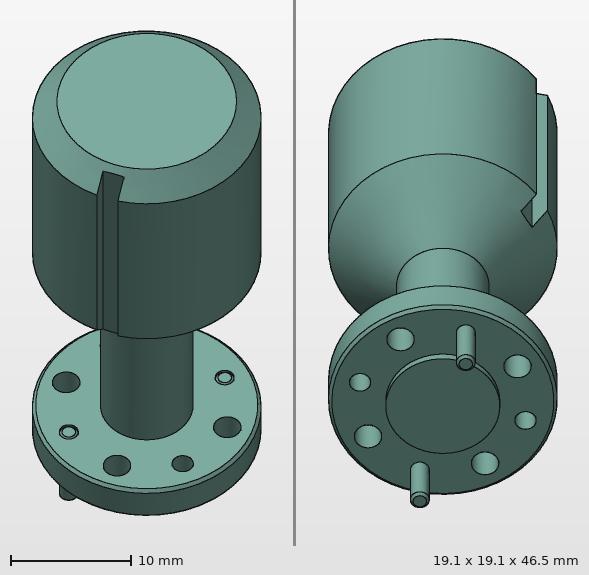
import cadquery as cq
import math

total_height = 46.55
pin_drop = 4.65
head_top = total_height - pin_drop

outer_diameter = 19.05
flange_thickness = 3.35
flange_chamfer = 0.3
boss_diameter = 9.5
boss_height = 0.7

bolt_circle_diameter = 14.3
screw_hole_diameter = 2.3
screw_hole_count = 4
dowel_hole_diameter = 1.75
dowel_hole_angles = (135, 315)

pin_diameter = 1.6
pin_chamfer = 0.25
pin_angles = (45, 225)

stem_diameter = 7.75
head_chamfer = 2.05
head_straight_length = 17.15
cone_height = (outer_diameter - stem_diameter) / 2

slot_width = 1.85
slot_floor_distance = 8.0


def bolt_circle_point(angle):
    """Position on the bolt circle at an angle in degrees from +X."""
    radius = bolt_circle_diameter / 2
    return (radius * math.cos(math.radians(angle)), radius * math.sin(math.radians(angle)))


def make_flange():
    """Round flange with chamfered rims, drilled for screws, dowels and pins."""
    disc = cq.Workplane("XY").circle(outer_diameter / 2).extrude(flange_thickness)
    disc = disc.edges("%CIRCLE").chamfer(flange_chamfer)
    boss = cq.Workplane("XY").circle(boss_diameter / 2).extrude(-boss_height)
    screw_angles = [i * 360 / screw_hole_count for i in range(screw_hole_count)]
    flange = disc
    for angles, diameter in (
        (screw_angles, screw_hole_diameter),
        (dowel_hole_angles, dowel_hole_diameter),
        (pin_angles, pin_diameter),
    ):
        points = [bolt_circle_point(angle) for angle in angles]
        holes = cq.Workplane("XY").pushPoints(points).circle(diameter / 2).extrude(flange_thickness)
        flange = flange.cut(holes)
    return flange.union(boss)


def make_stem_and_head():
    """Turned stem that widens through a cone into the cylindrical head."""
    outer_radius = outer_diameter / 2
    stem_radius = stem_diameter / 2
    cone_top = head_top - head_chamfer - head_straight_length
    return (
        cq.Workplane("XZ")
        .moveTo(0, flange_thickness)
        .lineTo(stem_radius, flange_thickness)
        .lineTo(stem_radius, cone_top - cone_height)
        .lineTo(outer_radius, cone_top)
        .lineTo(outer_radius, head_top - head_chamfer)
        .lineTo(outer_radius - head_chamfer, head_top)
        .lineTo(0, head_top)
        .close()
        .revolve(360, (0, 0, 0), (0, 1, 0))
    )


def make_slot_cutter():
    """Block outside the slot floor plane, running past both ends of the head."""
    slot_length = head_top - flange_thickness
    return (
        cq.Workplane("XY", origin=(0, -slot_floor_distance, flange_thickness))
        .rect(slot_width, outer_diameter - 2 * slot_floor_distance)
        .extrude(slot_length)
        .translate((0, -(outer_diameter / 2 - slot_floor_distance), 0))
    )


def make_pin(angle):
    """Dowel pin chamfered at both ends."""
    return (
        cq.Workplane("XY", origin=(*bolt_circle_point(angle), -pin_drop))
        .circle(pin_diameter / 2)
        .extrude(pin_drop + flange_thickness)
        .edges("%CIRCLE")
        .chamfer(pin_chamfer)
    )


body = make_flange().union(make_stem_and_head().cut(make_slot_cutter()))
pins = [make_pin(angle) for angle in pin_angles]

result = cq.Compound.makeCompound([body.val(), *[pin.val() for pin in pins]])